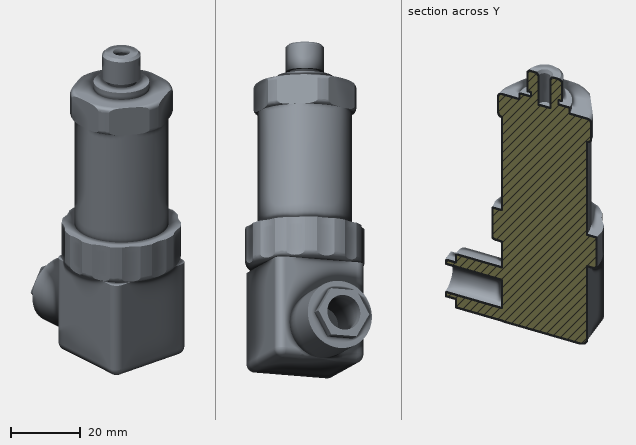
import cadquery as cq
import math


body_width = 27.0
housing_corner_radius = 2.5
half_width = body_width / 2

collar_bottom = 29.0
collar_top = 40.6
nut_bottom = 74.5
nut_top = 83.1
flange_top = 85.2
neck_top = 86.7
overall_height = 94.5

collar_radius = 17.1
collar_edge_radius = 1.9
groove_count = 12
groove_half_angle = 9.0
groove_floor_radius = 16.5

nut_turned_radius = 14.7
nut_edge_radius = 1.3

flange_diameter = 16.0
neck_diameter = 8.8
stub_diameter = 11.1
stub_chamfer = 0.8
port_diameter = 3.7
port_mouth_diameter = 4.9
port_mouth_depth = 0.9

outlet_axis_height = 9.9
outlet_radius = 9.8
outlet_end = 28.1
gland_end = 31.3
gland_across_flats = 13.5
cable_hole_diameter = 10.1


def disc(diameter, bottom, top):
    """Cylinder on the main axis between two heights."""
    return cq.Workplane("XY").workplane(offset=bottom).circle(diameter / 2).extrude(top - bottom)


def hexagon_diameter(across_flats):
    """Distance between opposite corners of a regular hexagon."""
    return across_flats / math.cos(math.radians(30))


def outlet_plane(distance):
    """Plane across the cable outlet, facing -X, at a distance from the main axis."""
    return cq.Workplane(cq.Plane((-distance, 0, outlet_axis_height), (0, 1, 0), (-1, 0, 0)))


def make_housing():
    """Square block with its round outlet boss; the bottom rounding fades out under the boss."""
    block = cq.Workplane("XY").rect(body_width, body_width).extrude(collar_bottom)
    boss = outlet_plane(half_width).circle(outlet_radius).extrude(outlet_end - half_width)
    return block.union(boss).edges("|Z or <Z").fillet(housing_corner_radius)


def make_gland():
    """Hexagonal gland at the end of the outlet boss."""
    return (
        outlet_plane(outlet_end)
        .polygon(6, hexagon_diameter(gland_across_flats))
        .extrude(gland_end - outlet_end)
    )


def make_collar():
    """Round collar with shallow concave grooves around its rim."""
    collar = disc(2 * collar_radius, collar_bottom, collar_top).faces("<Z").edges().fillet(collar_edge_radius)
    half_chord = collar_radius * math.sin(math.radians(groove_half_angle))
    groove_depth = collar_radius * math.cos(math.radians(groove_half_angle)) - groove_floor_radius
    groove_radius = (half_chord**2 + groove_depth**2) / (2 * groove_depth)
    cutters = (
        cq.Workplane("XY")
        .workplane(offset=collar_bottom)
        .polarArray(groove_floor_radius + groove_radius, 0, 360, groove_count)
        .circle(groove_radius)
    )
    return collar.cut(cutters.extrude(collar_top - collar_bottom, combine=False))


def make_nut():
    """Hexagon with flats facing +Y and -Y, trimmed by a round-edged disc."""
    hexagon = (
        cq.Workplane("XY")
        .workplane(offset=nut_bottom)
        .polygon(6, hexagon_diameter(body_width))
        .extrude(nut_top - nut_bottom)
    )
    trim = disc(2 * nut_turned_radius, nut_bottom, nut_top).edges("%CIRCLE").fillet(nut_edge_radius)
    return hexagon.intersect(trim)


def make_port():
    """Flange, undercut neck and chamfered stub."""
    flange = disc(flange_diameter, nut_top, flange_top)
    neck = disc(neck_diameter, flange_top, neck_top)
    stub = disc(stub_diameter, neck_top, overall_height).faces(">Z").edges().chamfer(stub_chamfer)
    return flange.union(neck).union(stub)


def make_port_bore():
    """Bore down to the flange foot, with a conical mouth."""
    bore = disc(port_diameter, nut_top, overall_height)
    mouth = (
        cq.Workplane("XY")
        .workplane(offset=overall_height - port_mouth_depth)
        .circle(port_diameter / 2)
        .workplane(offset=port_mouth_depth)
        .circle(port_mouth_diameter / 2)
        .loft()
    )
    return bore.union(mouth)


cable_hole = outlet_plane(half_width).circle(cable_hole_diameter / 2).extrude(gland_end - half_width)

result = (
    make_housing()
    .union(make_gland())
    .union(make_collar())
    .union(disc(body_width, collar_top, nut_bottom))
    .union(make_nut())
    .union(make_port())
    .cut(cable_hole)
    .cut(make_port_bore())
)